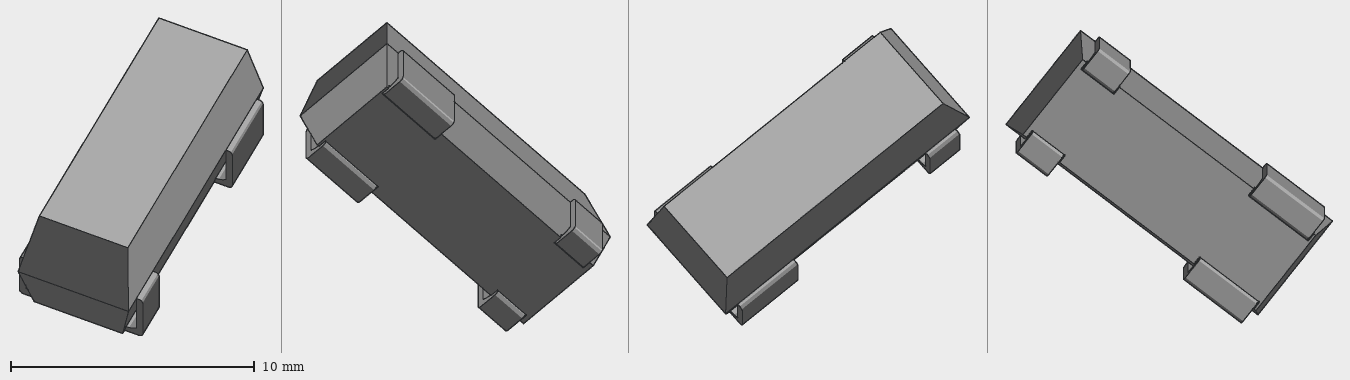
import cadquery as cq
import math

LENGTH = 13.1
OVERALL_WIDTH = 5.6
HEIGHT = 5.1

HOUSING_WIDTH = 5.0
HOUSING_BOTTOM = 0.09
PARTING_Z = 2.33
TAPER = 0.5
FRONT_TOP_TAPER = 2 * TAPER

LEAD_THICKNESS = (OVERALL_WIDTH - HOUSING_WIDTH) / 2
FOOT_THICKNESS = 0.28
FOOT_LENGTH = 1.17
EDGE_RADIUS = 0.2
BEND_RADIUS = 0.701
BEND_RISE = 0.16
WIDE_LEAD_WIDTH = 3.0
NARROW_LEAD_WIDTH = 1.6
WIDE_LEAD_Y = 4.4
NARROW_LEAD_Y = -4.99
LEAD_ROWS = [(WIDE_LEAD_Y, WIDE_LEAD_WIDTH), (NARROW_LEAD_Y, NARROW_LEAD_WIDTH)]
SIDES = (-1, 1)

RECESS_CLEARANCE = 0.05


def tapered_half(z_end, front_inset):
    """Frustum from the parting plane to z_end, with its own inset at the -Y end."""
    end_length = LENGTH - TAPER - front_inset
    end_center_y = (front_inset - TAPER) / 2
    return (
        cq.Workplane("XY", origin=(0, 0, PARTING_Z))
        .rect(HOUSING_WIDTH, LENGTH)
        .workplane(offset=z_end - PARTING_Z)
        .center(0, end_center_y)
        .rect(HOUSING_WIDTH - 2 * TAPER, end_length)
        .loft(ruled=True, combine=True)
    )


def foot_recess(side, center_y, lead_width):
    """Box to cut from the housing, from its underside up to the top of the foot."""
    foot_center_x = side * (OVERALL_WIDTH - FOOT_LENGTH) / 2
    return cq.Workplane("XY", origin=(foot_center_x, center_y, 0)).box(
        FOOT_LENGTH, lead_width + 2 * RECESS_CLEARANCE, FOOT_THICKNESS, centered=(True, True, False)
    )


def make_housing():
    upper = tapered_half(HEIGHT, FRONT_TOP_TAPER)
    lower = tapered_half(HOUSING_BOTTOM, TAPER)
    housing = upper.union(lower)
    for center_y, lead_width in LEAD_ROWS:
        for side in SIDES:
            housing = housing.cut(foot_recess(side, center_y, lead_width))
    return housing


def make_lead(side, center_y, lead_width):
    """L-shaped lead on the side given by the sign of its X position."""
    outer = OVERALL_WIDTH / 2
    inner = outer - LEAD_THICKNESS
    tip = outer - FOOT_LENGTH

    bend_run = math.sqrt(BEND_RADIUS**2 - (BEND_RADIUS - BEND_RISE) ** 2)
    bend_x = inner - bend_run
    half_angle = math.asin(bend_run / BEND_RADIUS) / 2
    bend_mid = (
        side * (bend_x + BEND_RADIUS * math.sin(half_angle)),
        FOOT_THICKNESS + BEND_RADIUS * (1 - math.cos(half_angle)),
    )

    lead = (
        cq.Workplane("XZ", origin=(0, center_y, 0))
        .moveTo(side * tip, 0)
        .lineTo(side * outer, 0)
        .lineTo(side * outer, PARTING_Z)
        .lineTo(side * inner, PARTING_Z)
        .lineTo(side * inner, FOOT_THICKNESS + BEND_RISE)
        .threePointArc(bend_mid, (side * bend_x, FOOT_THICKNESS))
        .lineTo(side * tip, FOOT_THICKNESS)
        .close()
        .extrude(lead_width / 2, both=True)
    )
    outer_face = ">X" if side > 0 else "<X"
    tip_face = "<X" if side > 0 else ">X"
    lead = lead.faces(outer_face).edges("|Y").fillet(EDGE_RADIUS)
    return lead.faces(tip_face).edges("<Z").fillet(EDGE_RADIUS)


housing = make_housing()
leads = []
for row_y, row_width in LEAD_ROWS:
    for row_side in SIDES:
        leads.append(make_lead(row_side, row_y, row_width).val())

result = cq.Compound.makeCompound([housing.val(), *leads])